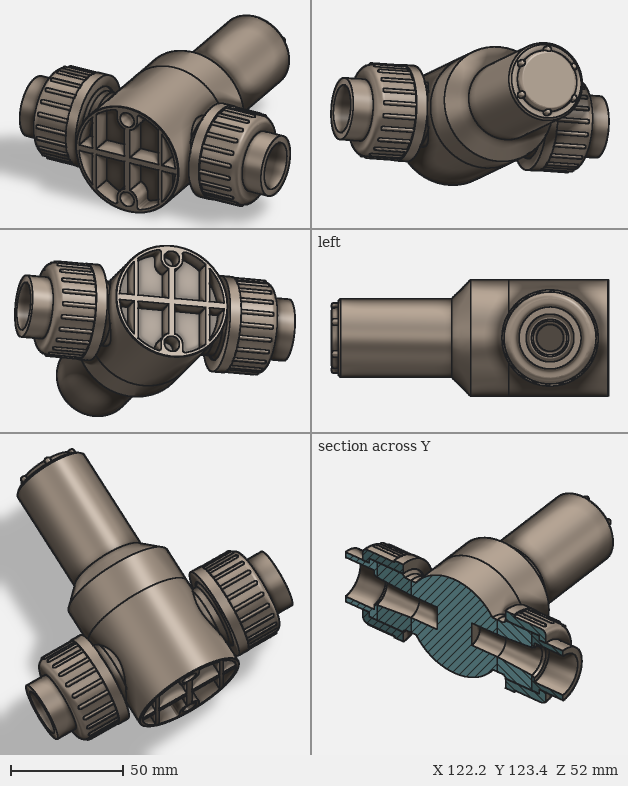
import cadquery as cq
import math


BODY_DIA = 52.0
BODY_RADIUS = BODY_DIA / 2
OVERALL_LENGTH = 123.4
BASE_Y = -26.0
BASE_CHAMFER = 0.2
JOINT_Y = 18.4
SHOULDER_Y = 35.4
TUBE_DIA = 35.2
TUBE_RADIUS = TUBE_DIA / 2
TUBE_CHAMFER = 1.0
CONE_END_Y = SHOULDER_Y + BODY_RADIUS - TUBE_RADIUS
KNOB_HEIGHT = 3.1
TOP_Y = BASE_Y + OVERALL_LENGTH
TUBE_END_Y = TOP_Y - KNOB_HEIGHT

KNOB_DIA = 27.6
KNOB_FILLET = 1.6
KNOB_GRIP_COUNT = 6
KNOB_GRIP_CIRCLE_RADIUS = 14.2
KNOB_GRIP_RADIUS = 1.5
KNOB_GRIP_ROUNDING = 1.1

POCKET_DEPTH = 10.0
POCKET_DIA = 48.7
CROSS_RIB_WIDTH = 2.8
SIDE_RIB_WIDTH = 1.9
SIDE_RIB_X = 16.7
SCREW_OFFSET = 19.9
SCREW_HOLE_DIA = 7.0
SCREW_BOSS_DIA = 10.0
SCREW_BOSS_CORNER_RADIUS = 1.2

PORT_BORE_DIA = 12.0
PORT_BORE_END_X = 9.9
NECK_DIA = 29.0
NECK_END_X = 24.3
COLLAR_CONE_X = 27.5
THREAD_DIA = 32.6
SEAL_X = 43.5
NUT_SHOULDER_X = 47.9
PIPE_END_X = 61.1
PIPE_DIA = 27.6
SOCKET_DIA = 21.3
SOCKET_DEPTH = 16.0
STOP_BORE_DIA = 16.7
SEAL_BORE_DIA = 15.0

NUT_INNER_X = 28.6
NUT_OUTER_X = 51.6
NUT_FLANGE_END_X = 33.7
NUT_FLANGE_DIA = 43.0
NUT_DIA = 41.0
NUT_FILLET = 3.0
NUT_GRIP_COUNT = 22
NUT_GRIP_RADIUS = 0.93
NUT_GRIP_ROUNDING = 0.9
NUT_GRIP_CIRCLE_RADIUS = 20.4
NUT_GRIP_END_X = 49.1
GRIP_TURN = {1: 0.0, -1: 5.6}

X_AXIS = cq.Vector(1, 0, 0)
Y_AXIS = cq.Vector(0, 1, 0)


def turned_about_x(points):
    """Solid turned about X from (x, radius) points."""
    return cq.Workplane("XY").polyline(points).close().revolve(360, (0, 0, 0), (1, 0, 0))


def turned_about_y(points):
    """Solid turned about Y from (radius, y) points."""
    return cq.Workplane("XY").polyline(points).close().revolve(360, (0, 0, 0), (0, 1, 0))


def on_side(solid, side):
    """Turn a part built on the +X side to the -X side when side is -1."""
    return solid if side == 1 else solid.mirror("YZ")


def rounded_bar(start, length, radius, rounding, axis):
    """Round bar along an axis with the rim of its far end rounded."""
    far_end = start + axis * length
    bar = cq.Workplane(cq.Solid.makeCylinder(radius, length, start, axis))
    return bar.edges(cq.selectors.NearestToPointSelector(far_end.toTuple())).fillet(rounding)


def pocket_block(x_low, x_high, z_low, z_high):
    """Block as deep as the pockets, rising from the mounting face."""
    return cq.Workplane("XY").box(
        x_high - x_low, POCKET_DEPTH, z_high - z_low, centered=False
    ).translate((x_low, BASE_Y, z_low))


def pocket_cylinder(diameter, z):
    """Cylinder as deep as the pockets, rising from the mounting face."""
    return cq.Workplane(
        cq.Solid.makeCylinder(diameter / 2, POCKET_DEPTH, cq.Vector(0, BASE_Y, z), Y_AXIS)
    )


def make_quarter_pockets():
    """The two pockets in the quarter of the mounting face at +X and +Z."""
    half_rib = CROSS_RIB_WIDTH / 2
    side_rib_inner_x = SIDE_RIB_X - SIDE_RIB_WIDTH / 2
    side_rib_outer_x = SIDE_RIB_X + SIDE_RIB_WIDTH / 2
    boss_radius = SCREW_BOSS_DIA / 2
    recess = pocket_cylinder(POCKET_DIA, 0)

    outer = recess.intersect(pocket_block(side_rib_outer_x, BODY_RADIUS, half_rib, BODY_RADIUS))
    inner = recess.intersect(pocket_block(half_rib, side_rib_inner_x, half_rib, BODY_RADIUS))
    inner = inner.cut(pocket_cylinder(SCREW_BOSS_DIA, SCREW_OFFSET))
    inner = inner.cut(pocket_block(0, boss_radius, SCREW_OFFSET, BODY_RADIUS))

    corner_z = math.sqrt((POCKET_DIA / 2) ** 2 - boss_radius**2)
    corner = cq.selectors.NearestToPointSelector((boss_radius, BASE_Y + POCKET_DEPTH / 2, corner_z))
    inner = inner.edges("|Y").edges(corner).fillet(SCREW_BOSS_CORNER_RADIUS)
    return [outer, inner]


def make_body():
    body = turned_about_y([
        (0, BASE_Y),
        (BODY_RADIUS - BASE_CHAMFER, BASE_Y),
        (BODY_RADIUS, BASE_Y + BASE_CHAMFER),
        (BODY_RADIUS, JOINT_Y),
        (0, JOINT_Y),
    ])
    neck = cq.Solid.makeCylinder(NECK_DIA / 2, 2 * NECK_END_X, cq.Vector(-NECK_END_X, 0, 0), X_AXIS)
    body = body.union(cq.Workplane(neck))

    seat = cq.Workplane(cq.Solid.makeCylinder(
        NECK_DIA / 2, BODY_RADIUS - NECK_END_X, cq.Vector(NECK_END_X, 0, 0), X_AXIS
    ))
    bore = cq.Workplane(cq.Solid.makeCylinder(
        PORT_BORE_DIA / 2, NECK_END_X - PORT_BORE_END_X, cq.Vector(PORT_BORE_END_X, 0, 0), X_AXIS
    ))
    for side in (1, -1):
        body = body.cut(on_side(seat, side))
        body = body.cut(on_side(bore, side))
        body = body.cut(pocket_cylinder(SCREW_HOLE_DIA, side * SCREW_OFFSET))

    for pocket in make_quarter_pockets():
        for half in (pocket, pocket.mirror("XY")):
            body = body.cut(half).cut(half.mirror("YZ"))
    return body


def make_bonnet():
    return turned_about_y([
        (0, JOINT_Y),
        (BODY_RADIUS, JOINT_Y),
        (BODY_RADIUS, SHOULDER_Y),
        (TUBE_RADIUS, CONE_END_Y),
        (TUBE_RADIUS, TUBE_END_Y - TUBE_CHAMFER),
        (TUBE_RADIUS - TUBE_CHAMFER, TUBE_END_Y),
        (0, TUBE_END_Y),
    ])


def make_knob():
    disc = cq.Solid.makeCylinder(KNOB_DIA / 2, KNOB_HEIGHT, cq.Vector(0, TUBE_END_Y, 0), Y_AXIS)
    knob = cq.Workplane(disc).faces(">Y").edges().fillet(KNOB_FILLET)
    grip = rounded_bar(
        cq.Vector(0, TUBE_END_Y, KNOB_GRIP_CIRCLE_RADIUS),
        KNOB_HEIGHT,
        KNOB_GRIP_RADIUS,
        KNOB_GRIP_ROUNDING,
        Y_AXIS,
    )
    for index in range(KNOB_GRIP_COUNT):
        knob = knob.union(grip.rotate((0, 0, 0), (0, 1, 0), index * 360 / KNOB_GRIP_COUNT))
    return knob


def make_collar(side):
    """Threaded collar between the body's neck and the pipe end."""
    cone_end_x = COLLAR_CONE_X + (THREAD_DIA - NECK_DIA) / 2
    collar = turned_about_x([
        (NECK_END_X, PORT_BORE_DIA / 2),
        (NECK_END_X, NECK_DIA / 2),
        (COLLAR_CONE_X, NECK_DIA / 2),
        (cone_end_x, THREAD_DIA / 2),
        (SEAL_X, THREAD_DIA / 2),
        (SEAL_X, SEAL_BORE_DIA / 2),
    ])
    return on_side(collar, side)


def make_pipe_end(side):
    """Socketed pipe end, held by a flange behind the nut's end wall."""
    stop_x = PIPE_END_X - SOCKET_DEPTH
    pipe_end = turned_about_x([
        (SEAL_X, SEAL_BORE_DIA / 2),
        (SEAL_X, THREAD_DIA / 2),
        (NUT_SHOULDER_X, THREAD_DIA / 2),
        (NUT_SHOULDER_X, PIPE_DIA / 2),
        (PIPE_END_X, PIPE_DIA / 2),
        (PIPE_END_X, SOCKET_DIA / 2),
        (stop_x, SOCKET_DIA / 2),
        (stop_x, STOP_BORE_DIA / 2),
    ])
    return on_side(pipe_end, side)


def make_nut(side):
    nut = turned_about_x([
        (NUT_INNER_X, 0),
        (NUT_INNER_X, NUT_FLANGE_DIA / 2),
        (NUT_FLANGE_END_X, NUT_FLANGE_DIA / 2),
        (NUT_FLANGE_END_X, NUT_DIA / 2),
        (NUT_OUTER_X, NUT_DIA / 2),
        (NUT_OUTER_X, 0),
    ])
    nut = nut.faces(">X").edges().fillet(NUT_FILLET)

    grip = rounded_bar(
        cq.Vector(NUT_FLANGE_END_X, -NUT_GRIP_CIRCLE_RADIUS, 0),
        NUT_GRIP_END_X - NUT_FLANGE_END_X,
        NUT_GRIP_RADIUS,
        NUT_GRIP_ROUNDING,
        X_AXIS,
    )
    for index in range(NUT_GRIP_COUNT):
        angle = GRIP_TURN[side] + index * 360 / NUT_GRIP_COUNT
        nut = nut.union(grip.rotate((0, 0, 0), (1, 0, 0), -angle))

    cavity = turned_about_x([
        (NUT_INNER_X, 0),
        (NUT_INNER_X, THREAD_DIA / 2),
        (NUT_SHOULDER_X, THREAD_DIA / 2),
        (NUT_SHOULDER_X, PIPE_DIA / 2),
        (NUT_OUTER_X, PIPE_DIA / 2),
        (NUT_OUTER_X, 0),
    ])
    return on_side(nut.cut(cavity), side)


body = make_body()
bonnet = make_bonnet()
knob = make_knob()
collars = [make_collar(side) for side in (1, -1)]
pipe_ends = [make_pipe_end(side) for side in (1, -1)]
nuts = [make_nut(side) for side in (1, -1)]

result = cq.Compound.makeCompound(
    [part.val() for part in [body, bonnet, knob, *collars, *pipe_ends, *nuts]]
)